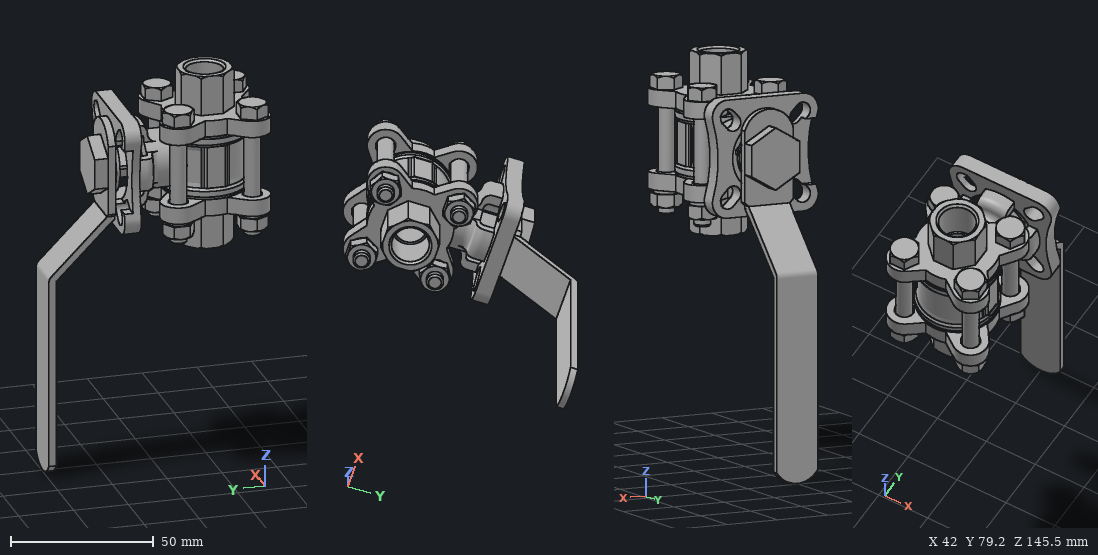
import cadquery as cq
import math


port_half_length = 32.5
port_across_flats = 19.2
port_round_diameter = 21.0
port_edge_chamfer = 0.7
bore_diameter = 11.6
socket_diameter = 13.2
socket_depth = 14.5
socket_chamfer = 0.9
cap_inner_z = 11.8
cap_thickness = 6.1
cap_outer_z = cap_inner_z + cap_thickness
cap_radius = 15.3
cap_waist_half_width = 4.1
lug_radius = 6.5

bolt_offset = 13.5
bolt_diameter = 6.0
bolt_hole_diameter = 7.0
bolt_across_flats = 10.0
bolt_head_height = 4.8
bolt_washer_diameter = 9.0
bolt_washer_thickness = 1.6
bolt_nut_height = 4.8
hexagon_corner_cut = 0.7
bolt_end_z = -27.2
bolt_end_chamfer = 0.7

rim_outer_z = 10.9
rim_inner_z = 8.7
joint_radius = 15.0
groove_z = 7.7
frame_radius = 14.5
recess_z = 6.1
recess_radius = 14.1
pad_half_width = 5.1
pad_base_half_width = 4.2
pad_flat_half_width = 3.3
pad_flat_x = 14.7

neck_radius = 10.5
neck_top_y = 23.9
arm_width = 11.8
arm_outer_radius = 16.3
yoke_bore_diameter = 26.0
arm_inner_radius = yoke_bore_diameter / 2
arm_bend_y = 25.6
arm_knee_y = 22.5
arm_foot_y = 19.8
arm_root_depth = 1.5
arm_inner_bend = arm_bend_y - neck_top_y
arm_outer_bend = arm_bend_y - arm_knee_y

flange_bottom_y = 29.1
flange_top_y = 35.2
flange_half_width = 42.0 / 2
flange_corner_radius = 5.8
flange_waist_half_width = 18.8
flange_waist_half_height = 13.4
pocket_width = 23.5
pocket_depth = 3.2
slot_inner_radius = 18.0
slot_outer_radius = 21.0
slot_width = 6.0

stem_across_flats = 9.0
stem_round_diameter = 11.6
stem_washer_diameter = 21.0
stem_washer_thickness = 1.3
stem_nut_across_flats = 19.2
stem_nut_height = 5.0

handle_thickness = 2.8
handle_outer_y = flange_top_y + handle_thickness
handle_grip_y = 59.2
handle_bend_radius = 2.9
handle_bend_angle = math.pi / 4
handle_tip_z = -113.0
handle_grip_half_width = 8.1
handle_tip_rise = 4.4
handle_head_half_width = 9.6
handle_head_top_z = 17.0
handle_head_shoulder_z = 9.9
handle_head_bottom_z = -15.7
handle_bend_z = -17.0


def z_cylinder(diameter, z_low, z_high):
    return cq.Workplane("XY").workplane(offset=z_low).circle(diameter / 2).extrude(z_high - z_low)


def y_plane(y):
    """Plane facing +Y whose local axes are global Z and X."""
    return cq.Workplane(cq.Plane(origin=(0, y, 0), xDir=(0, 0, 1), normal=(0, 1, 0)))


def y_cylinder(diameter, y_low, y_high):
    return y_plane(y_low).circle(diameter / 2).extrude(y_high - y_low)


def hexagon(across_flats, height):
    """Hexagonal prism on z = 0 with two corners on the X axis."""
    return cq.Workplane("XY").polygon(6, across_flats / math.cos(math.pi / 6)).extrude(height)


def rounded_hexagon(across_flats, height):
    """Hexagonal prism whose top corners are turned back to the circle across the flats."""
    corner_diameter = across_flats / math.cos(math.pi / 6)
    turned_blank = z_cylinder(corner_diameter, 0, height).faces(">Z").chamfer(
        hexagon_corner_cut, (corner_diameter - across_flats) / 2
    )
    return hexagon(across_flats, height).intersect(turned_blank)


def turned(x, y, quarter_turns):
    """Point (x, y) after a number of quarter turns about the origin."""
    for _ in range(quarter_turns):
        x, y = -y, x
    return (x, y)


def cap_outline():
    """Disc with four lugs; straight flanks run tangent from the disc to each lug."""
    waist_y = math.sqrt(cap_radius**2 - cap_waist_half_width**2)
    dx = bolt_offset - cap_waist_half_width
    dy = bolt_offset - waist_y
    flank = math.sqrt(dx**2 + dy**2 - lug_radius**2)
    flank_angle = math.atan2(dy, dx) + math.atan2(lug_radius, flank)
    tangent_x = cap_waist_half_width + flank * math.cos(flank_angle)
    tangent_y = waist_y + flank * math.sin(flank_angle)
    lug_tip = bolt_offset + lug_radius * math.sqrt(0.5)

    outline = cq.Workplane("XY").moveTo(waist_y, cap_waist_half_width)
    for quarter in range(4):
        outline = outline.lineTo(*turned(tangent_y, tangent_x, quarter))
        outline = outline.threePointArc(
            turned(lug_tip, lug_tip, quarter), turned(tangent_x, tangent_y, quarter)
        )
        outline = outline.lineTo(*turned(cap_waist_half_width, waist_y, quarter))
        outline = outline.threePointArc(
            turned(0, cap_radius, quarter), turned(-cap_waist_half_width, waist_y, quarter)
        )
    return outline.close()


def upper_cap():
    """End cap above the centre section, with its octagonal port."""
    lug_plate = cap_outline().extrude(cap_thickness).translate((0, 0, cap_inner_z))
    bolt_places = [turned(bolt_offset, bolt_offset, quarter) for quarter in range(4)]
    holes = (
        cq.Workplane("XY").workplane(offset=cap_inner_z)
        .pushPoints(bolt_places).circle(bolt_hole_diameter / 2).extrude(cap_thickness)
    )
    octagon = (
        cq.Workplane("XY").polygon(8, port_across_flats / math.cos(math.pi / 8))
        .extrude(port_half_length).rotate((0, 0, 0), (0, 0, 1), 360 / 16)
    )
    turned_port = z_cylinder(port_round_diameter, 0, port_half_length).faces(">Z").chamfer(port_edge_chamfer)
    port = octagon.intersect(turned_port)
    return lug_plate.cut(holes).union(port)


def centre_section():
    """Turned barrel with a rim at each end and a flat pad on the -X and +X sides."""
    profile = [(0, 0), (recess_radius, 0), (recess_radius, recess_z), (frame_radius, groove_z)]
    profile += [(cap_radius, rim_inner_z), (cap_radius, rim_outer_z)]
    profile += [(joint_radius, rim_outer_z), (joint_radius, cap_inner_z), (0, cap_inner_z)]
    half = cq.Workplane("XZ").polyline(profile).close().revolve(360, (0, 0, 0), (0, 1, 0))
    barrel = half.union(half.mirror("XY"))

    frame = z_cylinder(2 * frame_radius, -groove_z, groove_z)
    pad_band = cq.Workplane("XY").box(2 * cap_radius, 2 * pad_half_width, 2 * groove_z)
    pad_base_x = math.sqrt(frame_radius**2 - pad_base_half_width**2)
    flats_outline = [
        (pad_base_x, -pad_base_half_width), (pad_flat_x, -pad_flat_half_width),
        (pad_flat_x, pad_flat_half_width), (pad_base_x, pad_base_half_width),
        (-pad_base_x, pad_base_half_width), (-pad_flat_x, pad_flat_half_width),
        (-pad_flat_x, -pad_flat_half_width), (-pad_base_x, -pad_base_half_width),
    ]
    flats = cq.Workplane("XY").polyline(flats_outline).close().extrude(groove_z, both=True)
    return barrel.union(frame.intersect(pad_band)).union(flats)


def bolt():
    """Bolt with head, washer and nut on the Z axis."""
    head = rounded_hexagon(bolt_across_flats, bolt_head_height).translate((0, 0, cap_outer_z))
    shank = z_cylinder(bolt_diameter, bolt_end_z, cap_outer_z).faces("<Z").chamfer(bolt_end_chamfer)
    washer_bottom = -cap_outer_z - bolt_washer_thickness
    washer = z_cylinder(bolt_washer_diameter, washer_bottom, -cap_outer_z)
    nut = rounded_hexagon(bolt_across_flats, bolt_nut_height).rotate((0, 0, 0), (1, 0, 0), 180)
    nut = nut.translate((0, 0, washer_bottom))
    return head.union(shank).union(washer).union(nut)


def yoke():
    """Four bent arms, cut as a cross from one revolved shell."""
    bend = math.sqrt(0.5)
    inner_end = arm_inner_radius - arm_inner_bend
    knee_radius = arm_outer_radius - arm_outer_bend
    foot_drop = arm_knee_y - arm_foot_y
    foot_width = knee_radius - neck_radius
    core_radius = neck_radius - arm_root_depth
    shell = (
        cq.Workplane("XY").moveTo(core_radius, arm_foot_y).lineTo(neck_radius, arm_foot_y)
        .threePointArc(
            (knee_radius - foot_width * bend, arm_foot_y + foot_drop * bend), (knee_radius, arm_knee_y)
        )
        .threePointArc(
            (knee_radius + arm_outer_bend * bend, arm_bend_y - arm_outer_bend * bend),
            (arm_outer_radius, arm_bend_y),
        )
        .lineTo(arm_outer_radius, flange_bottom_y).lineTo(arm_inner_radius, flange_bottom_y)
        .lineTo(arm_inner_radius, arm_bend_y)
        .threePointArc(
            (inner_end + arm_inner_bend * bend, arm_bend_y - arm_inner_bend * bend), (inner_end, neck_top_y)
        )
        .lineTo(core_radius, neck_top_y).close().revolve(360, (0, 0, 0), (0, 1, 0))
    )
    reach = 2 * arm_outer_radius
    cross = (
        y_plane(0).rect(reach, arm_width).extrude(flange_bottom_y)
        .union(y_plane(0).rect(arm_width, reach).extrude(flange_bottom_y))
    )
    return shell.intersect(cross)


def flange():
    """Rounded square plate, waisted on the -X and +X sides, bored in line with
    the arms, with a pocket that opens the bore toward -X."""
    straight = flange_half_width - flange_corner_radius
    tip = straight + flange_corner_radius * math.sqrt(0.5)
    waist_z = flange_waist_half_height
    waist_x = straight + math.sqrt(flange_corner_radius**2 - (straight - waist_z) ** 2)
    thickness = flange_top_y - flange_bottom_y
    plate = (
        y_plane(flange_bottom_y).moveTo(flange_half_width, -straight).lineTo(flange_half_width, straight)
        .threePointArc((tip, tip), (waist_z, waist_x))
        .threePointArc((0, flange_waist_half_width), (-waist_z, waist_x))
        .threePointArc((-tip, tip), (-flange_half_width, straight)).lineTo(-flange_half_width, -straight)
        .threePointArc((-tip, -tip), (-waist_z, -waist_x))
        .threePointArc((0, -flange_waist_half_width), (waist_z, -waist_x))
        .threePointArc((tip, -tip), (flange_half_width, -straight)).close().extrude(thickness)
    )

    pocket_floor_y = flange_top_y - pocket_depth
    pocket = (
        y_plane(pocket_floor_y).center(0, -flange_half_width / 2)
        .rect(pocket_width, flange_half_width).extrude(pocket_depth)
    )
    plate = plate.cut(pocket).cut(y_cylinder(yoke_bore_diameter, flange_bottom_y, flange_top_y))

    slot_centre = (slot_inner_radius + slot_outer_radius) / 2
    slot_length = slot_outer_radius - slot_inner_radius + slot_width
    for angle in (45, 135, 225, 315):
        slot = y_plane(flange_bottom_y).center(slot_centre, 0).slot2D(slot_length, slot_width)
        slot = slot.extrude(thickness)
        plate = plate.cut(slot.rotate((0, 0, 0), (0, 1, 0), angle))
    return plate


def make_body():
    """Centre section, caps, bolts, neck, yoke and flange as one solid."""
    cap = upper_cap()
    solid = centre_section().union(cap).union(cap.mirror("XY"))
    solid = solid.union(y_cylinder(2 * neck_radius, 0, neck_top_y)).union(yoke()).union(flange())

    solid = solid.cut(z_cylinder(bore_diameter, -port_half_length, port_half_length))
    socket = z_cylinder(socket_diameter, port_half_length - socket_depth, port_half_length)
    mouth = cq.Workplane("XY").add(
        cq.Solid.makeCone(
            socket_diameter / 2, socket_diameter / 2 + socket_chamfer, socket_chamfer,
            cq.Vector(0, 0, port_half_length - socket_chamfer),
        )
    )
    socket = socket.union(mouth)
    solid = solid.cut(socket).cut(socket.mirror("XY"))

    corner_bolt = bolt().translate((bolt_offset, bolt_offset, 0))
    for quarter in range(4):
        solid = solid.union(corner_bolt.rotate((0, 0, 0), (0, 0, 1), 90 * quarter))
    return solid


def stem_shaft(y_low, y_high):
    """Square shaft standing on a corner, its corners turned to the round diameter."""
    square = (
        y_plane(y_low).rect(stem_across_flats, stem_across_flats).extrude(y_high - y_low)
        .rotate((0, 0, 0), (0, 1, 0), 45)
    )
    return square.intersect(y_cylinder(stem_round_diameter, y_low, y_high))


def make_stem():
    """Stem with its retaining washer in the flange pocket and the nut that holds the handle."""
    shaft = stem_shaft(neck_top_y, handle_outer_y)
    washer = y_cylinder(stem_washer_diameter, flange_top_y - stem_washer_thickness, flange_top_y)
    corner_diameter = stem_nut_across_flats / math.cos(math.pi / 6)
    nut = y_plane(handle_outer_y).polygon(6, corner_diameter).extrude(stem_nut_height)
    return shaft.union(washer).union(nut)


def make_handle():
    """Bent strip: side profile in YZ trimmed to the plan outline in XZ."""
    bend_offset = handle_thickness * math.tan(handle_bend_angle / 2)
    grip_inner_y = handle_grip_y - handle_thickness
    grip_bend_z = handle_bend_z - (handle_grip_y - handle_outer_y) / math.tan(handle_bend_angle)
    side_points = [(flange_top_y, handle_head_top_z), (handle_outer_y, handle_head_top_z)]
    side_points += [(handle_outer_y, handle_bend_z), (handle_grip_y, grip_bend_z)]
    side_points += [(handle_grip_y, handle_tip_z), (grip_inner_y, handle_tip_z)]
    side_points += [(grip_inner_y, grip_bend_z - bend_offset), (flange_top_y, handle_bend_z - bend_offset)]
    strip = cq.Workplane("YZ").polyline(side_points).close().extrude(handle_head_half_width, both=True)
    outer_bend = cq.selectors.NearestToPointSelector((0, handle_grip_y, grip_bend_z))
    strip = strip.edges(outer_bend).fillet(handle_bend_radius)

    head = handle_head_half_width
    grip = handle_grip_half_width
    tip_corner_z = handle_tip_z + handle_tip_rise
    plan = (
        y_plane(0).moveTo(handle_head_shoulder_z, -head)
        .threePointArc((handle_head_top_z, 0), (handle_head_shoulder_z, head))
        .lineTo(handle_head_bottom_z, head).lineTo(handle_bend_z, grip).lineTo(tip_corner_z, grip)
        .threePointArc((handle_tip_z, 0), (tip_corner_z, -grip))
        .lineTo(handle_bend_z, -grip).lineTo(handle_head_bottom_z, -head).close().extrude(handle_grip_y)
    )
    return strip.intersect(plan).cut(stem_shaft(flange_top_y, handle_outer_y))


body = make_body()
stem = make_stem()
handle = make_handle()

result = cq.Compound.makeCompound([body.solids().val(), stem.solids().val(), handle.solids().val()])